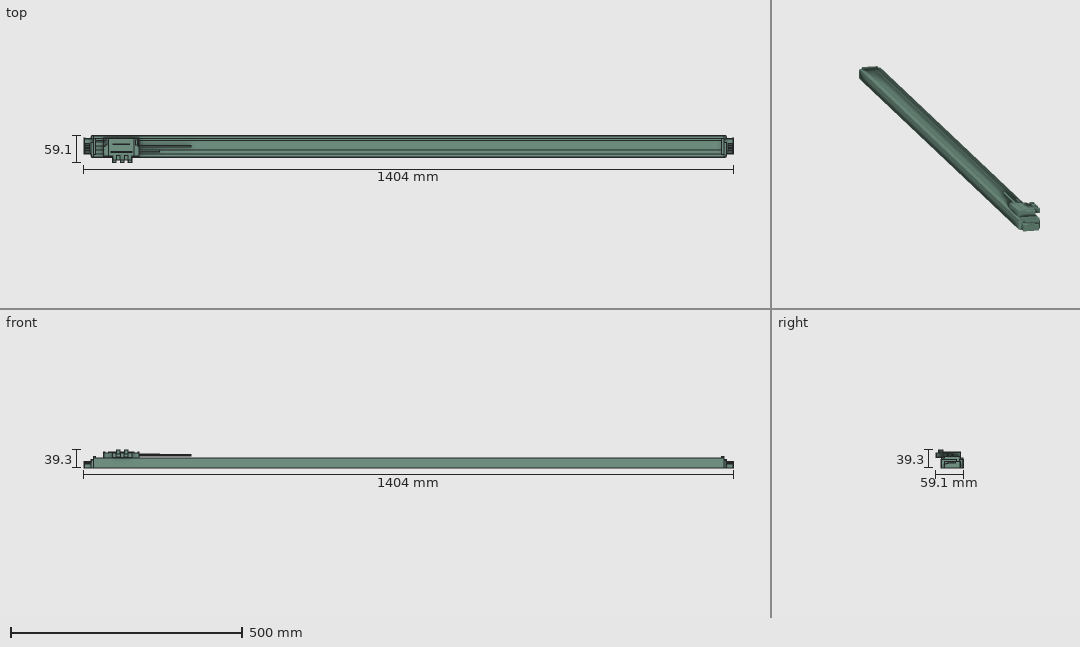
import cadquery as cq

overall_length = 1404.0
overall_width = 59.1
overall_height = 39.3

end_cap_width = 48.0
rail_width = 47.2
rail_height = 22.0
coupling_length = 15.0
cap_start = -overall_length / 2 + coupling_length
cap_thickness = 5.0
rail_start = cap_start + cap_thickness
recess_depth = 2.0
recess_min_y = -7.7
recess_max_y = 13.4
step_max_y = 17.7
front_groove_min_y = -16.2
groove_depth = 1.0

cap_height = 18.5
ridge_length = 5.0
ridge_height = 25.5
ridge_width = 34.0
cap_corner_radius = 4.5
notch_min_y = 9.0
notch_max_y = 16.0
flange_thickness = 2.0
flange_min_y = -16.5
flange_max_y = 18.0
coupling_height = 14.0
coupling_body_height = 10.5
coupling_foot_height = 8.5
neck_min_y = -14.0
neck_max_y = 17.0
socket_min_y = -8.0
socket_max_y = 6.5
socket_length = 9.0
socket_depth = 3.0
socket_count = 3
socket_rib = 1.5

unit_start = rail_start + 22.0
unit_length = 77.0
unit_end = unit_start + unit_length
unit_middle = (unit_start + unit_end) / 2
unit_min_y = -20.5
unit_max_y = 18.0
unit_height = 34.5
wing_length = 11.0
wing_height = 32.9
post_length = 3.0
lid_groove_width = 1.5
lid_groove_depth = 1.0
back_lid_groove_y = 5.0
front_lid_groove_y = -12.0
back_lid_groove_length = 36.0
front_lid_groove_length = 46.0
clip_pocket_depth = 3.0
clip_pocket_length = 4.0
clip_pocket_min_y = 3.0
clip_pocket_max_y = 14.0

entry_pitch = 17.0
entry_count = 3
entry_width = 8.0
entry_bottom = 23.0
entry_top = 33.0
entry_offset = 1.8
entry_front_y = end_cap_width / 2 - overall_width
housing_width = 8.0
housing_front_y = -29.8
housing_back_y = -20.0
housing_bottom = 30.0
collar_front_y = -29.0
collar_bottom = 24.0
wire_diameter = 3.4
long_wire_length = 112.0
long_wire_y = 0.4
long_wire_z = 28.1
short_wire_length = 44.0
short_wire_y = -9.8
short_wire_z = 28.8
tab_min_y = 1.0
tab_max_y = 10.0


def block(x_range, y_range, z_range):
    """Box with its sides along the axes, spanning the three given ranges."""
    (x0, x1), (y0, y1), (z0, z1) = x_range, y_range, z_range
    return cq.Workplane("XY").box(x1 - x0, y1 - y0, z1 - z0, centered=False).translate((x0, y0, z0))


def centred(middle, length):
    """Range of the given length around a middle value."""
    return (middle - length / 2, middle + length / 2)


def make_profile():
    """Straight rail with a recess, a step and a groove along its top."""
    half = rail_width / 2
    span = (rail_start, -rail_start)
    deep = (rail_height - recess_depth, rail_height)
    shallow = (rail_height - groove_depth, rail_height)
    profile = block(span, (-half, half), (0, rail_height))
    profile = profile.cut(block(span, (recess_min_y, recess_max_y), deep))
    profile = profile.cut(block(span, (recess_max_y, step_max_y), shallow))
    return profile.cut(block(span, (front_groove_min_y, recess_min_y), shallow))


def make_coupling():
    """Flanged coupling at the -X end, with a row of sockets in its top."""
    tip = -overall_length / 2
    flange = block((tip, tip + flange_thickness), (flange_min_y, flange_max_y), (0, coupling_height))
    foot = block((tip, cap_start), (flange_min_y, neck_max_y), (0, coupling_foot_height))
    neck = block((tip, cap_start), (neck_min_y, neck_max_y), (0, coupling_body_height))
    top = block((tip, cap_start), (socket_min_y - socket_rib, neck_max_y), (0, coupling_height))
    coupling = flange.union(foot).union(neck).union(top)
    pitch = (socket_max_y - socket_min_y + socket_rib) / socket_count
    socket_x = (tip + flange_thickness, tip + flange_thickness + socket_length)
    for i in range(socket_count):
        y0 = socket_min_y + i * pitch
        socket_z = (coupling_height - socket_depth, coupling_height)
        coupling = coupling.cut(block(socket_x, (y0, y0 + pitch - socket_rib), socket_z))
    return coupling


def make_end():
    """End cap at the -X end with its ridge, notch and coupling."""
    half = end_cap_width / 2
    cap = block((cap_start, rail_start), (-half, half), (0, cap_height))
    cap = cap.edges("|Z and <X").fillet(cap_corner_radius)
    cap = cap.cut(block((cap_start, rail_start), (notch_min_y, notch_max_y), (coupling_height, cap_height)))
    ridge_y = centred(0, ridge_width)
    ridge_x = (rail_start, rail_start + ridge_length)
    ridge = block(ridge_x, ridge_y, (rail_height - recess_depth, ridge_height))
    return cap.union(ridge).union(make_coupling())


def make_rail():
    end = make_end()
    return make_profile().union(end).union(end.mirror("YZ"))


def make_wing(x0, x1, post_x):
    """Lower end part of the unit, with a full-height post and a clip pocket."""
    wing = block((x0, x1), (unit_min_y, unit_max_y), (rail_height, wing_height))
    wing = wing.union(block(centred(post_x, post_length), (0, unit_max_y), (rail_height, unit_height)))
    pocket_x = centred((x0 + x1) / 2, clip_pocket_length)
    pocket_z = (wing_height - clip_pocket_depth, unit_height)
    return wing.cut(block(pocket_x, (clip_pocket_min_y, clip_pocket_max_y), pocket_z))


def make_housing():
    """Box of the unit: a lid with two grooves between two wings."""
    lid_x = (unit_start + wing_length, unit_end - wing_length)
    lid = block(lid_x, (unit_min_y, unit_max_y), (rail_height, unit_height))
    lid_grooves = (
        (back_lid_groove_y, back_lid_groove_length),
        (front_lid_groove_y, front_lid_groove_length),
    )
    for y, length in lid_grooves:
        groove_z = (unit_height - lid_groove_depth, unit_height)
        lid = lid.cut(block(centred(unit_middle, length), centred(y, lid_groove_width), groove_z))
    left = make_wing(unit_start, lid_x[0], unit_start + post_length / 2)
    right = make_wing(lid_x[1], unit_end, unit_end - post_length / 2)
    return lid.union(left).union(right)


def make_wire(y, z, length):
    """Straight round wire leaving the +X face of the unit."""
    section = cq.Workplane("YZ", origin=(unit_end, y, z))
    return section.circle(wire_diameter / 2).extrude(length)


def make_unit():
    unit = make_housing()
    first_entry = unit_middle + entry_offset - (entry_count - 1) / 2 * entry_pitch
    for i in range(entry_count):
        entry_x = centred(first_entry + i * entry_pitch, entry_width)
        unit = unit.union(block(entry_x, (entry_front_y, unit_min_y), (entry_bottom, entry_top)))
    for i in range(entry_count - 1):
        housing_x = centred(first_entry + (i + 0.5) * entry_pitch, housing_width)
        housing_y = (housing_front_y, housing_back_y)
        unit = unit.union(block(housing_x, housing_y, (housing_bottom, overall_height)))
    collar_x = centred(unit_middle + entry_offset, (entry_count - 1) * entry_pitch + entry_width)
    unit = unit.union(block(collar_x, (collar_front_y, unit_min_y), (collar_bottom, unit_height)))
    tab_x = (rail_start + ridge_length, unit_end)
    unit = unit.union(block(tab_x, (tab_min_y, tab_max_y), (rail_height - recess_depth, rail_height)))
    unit = unit.union(make_wire(long_wire_y, long_wire_z, long_wire_length))
    return unit.union(make_wire(short_wire_y, short_wire_z, short_wire_length))


rail = make_rail()
unit = make_unit()
result = cq.Compound.makeCompound([rail.val(), unit.val()])